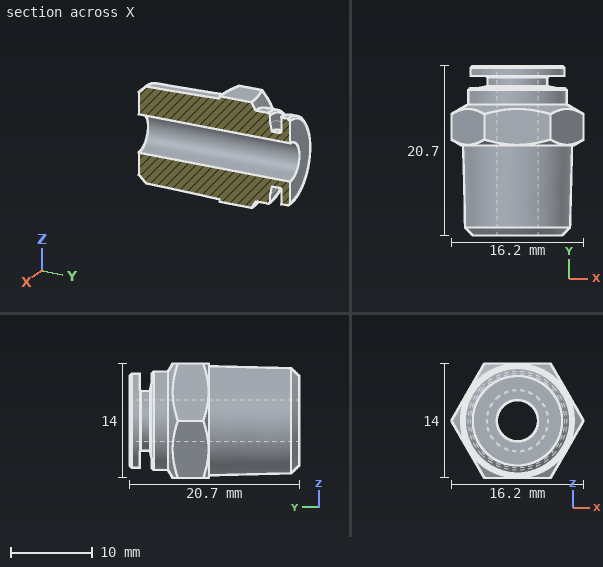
import cadquery as cq
import math

tip_chamfer_end = 1.01
thread_end = 11.01
hex_end = 16.02
collar_end = 18.0
cone_end = 18.24
ring_start = 19.45
total_length = 20.7

bore_radius = 2.5
tip_radius = 5.46
thread_small_radius = 6.44
thread_large_radius = 6.69
collar_radius = 6.02
cone_base_radius = 4.72
neck_radius = 3.66
ring_radius = 5.75
edge_chamfer = 0.27
neck_flare = 0.15

hex_across_flats = 14.0
hex_corner_radius = hex_across_flats / math.sqrt(3)
front_cone_radius = 6.9
front_cone_length = 0.7
rear_cone_length = 1.2


def revolve_profile(points):
    """Revolve a closed (radius, y) outline about the Y axis."""
    return cq.Workplane("XY").polyline(points).close().revolve(360, (0, 0, 0), (0, 1, 0))


def threaded_stub():
    """Tapered male thread envelope with a chamfered tip."""
    return revolve_profile([
        (0, 0),
        (tip_radius, 0),
        (thread_small_radius, tip_chamfer_end),
        (thread_large_radius, thread_end),
        (0, thread_end),
    ])


def hex_body():
    """Hexagon with corners pointing along X, trimmed by a cone at each end."""
    hexagon = (
        cq.Workplane("XZ", origin=(0, thread_end, 0))
        .polygon(6, 2 * hex_corner_radius)
        .extrude(thread_end - hex_end)
    )
    corner_trim = revolve_profile([
        (0, thread_end),
        (front_cone_radius, thread_end),
        (hex_corner_radius, thread_end + front_cone_length),
        (hex_corner_radius, hex_end - rear_cone_length),
        (collar_radius, hex_end),
        (0, hex_end),
    ])
    return hexagon.intersect(corner_trim)


def collar_and_release_ring():
    """Collar, short cone, flared neck and flanged release ring."""
    return revolve_profile([
        (0, hex_end),
        (collar_radius, hex_end),
        (collar_radius, collar_end - edge_chamfer),
        (collar_radius - edge_chamfer, collar_end),
        (cone_base_radius, collar_end),
        (neck_radius, cone_end),
        (neck_radius, ring_start - neck_flare),
        (neck_radius + neck_flare, ring_start),
        (ring_radius, ring_start),
        (ring_radius, total_length - edge_chamfer),
        (ring_radius - edge_chamfer, total_length),
        (0, total_length),
    ])


bore = cq.Workplane("XZ").circle(bore_radius).extrude(-total_length)

result = threaded_stub().union(hex_body()).union(collar_and_release_ring()).cut(bore)